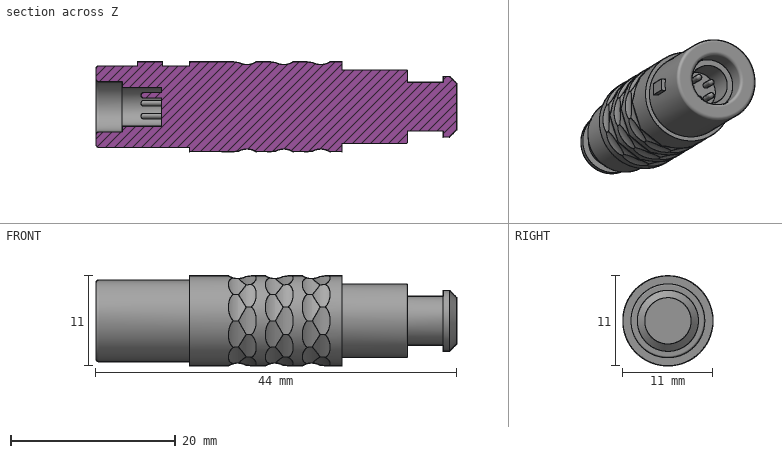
import cadquery as cq


nose_diameter = 10.0
collar_diameter = 11.0
tail_diameter = 9.0
neck_diameter = 6.0
flange_diameter = 7.45
nose_end = 11.4
collar_end = 30.0
tail_end = 38.0
flange_start = 42.3
total_length = 44.0
nose_fillet = 0.4
tail_fillet = 0.2
flange_chamfer = 0.9

socket_diameter = 6.1
socket_depth = 3.2
socket_fillet = 0.4
inner_bore_diameter = 4.7
inner_bore_end = 8.0

pin_count = 5
pin_diameter = 0.7
pin_circle_radius = 1.4
pin_length = 2.5

key_start = 5.05
key_length = 3.1
key_width = 1.4

band_count = 3
rows_per_band = 2
band_pitch = 4.5
first_row_x = 17.3
row_offset = 1.1
scallops_per_row = 10
scallop_radius = 2.1
scallop_depth = 0.34
cutter_half_length = 3.0

collar_radius = collar_diameter / 2
pin_radius = pin_diameter / 2
scallop_angle = 360.0 / scallops_per_row


def cylinder(diameter, start, end):
    """Cylinder on the X axis between two X positions."""
    return cq.Workplane("YZ", origin=(start, 0, 0)).circle(diameter / 2).extrude(end - start)


def make_shell():
    nose = cylinder(nose_diameter, 0, nose_end).faces("<X").edges().fillet(nose_fillet)
    collar = cylinder(collar_diameter, nose_end, collar_end)
    tail = cylinder(tail_diameter, collar_end, tail_end).faces(">X").edges().fillet(tail_fillet)
    neck = cylinder(neck_diameter, tail_end, flange_start)
    flange = cylinder(flange_diameter, flange_start, total_length)
    flange = flange.faces(">X").edges().chamfer(flange_chamfer)
    return nose.union(cut_grip(collar)).union(tail).union(neck).union(flange)


def make_scallop_cutter(x, angle):
    """Cylinder crossing the collar surface, turned about the X axis from the -Y direction."""
    axis_height = collar_radius - scallop_depth + scallop_radius
    cutter = (
        cq.Workplane("XY", origin=(x, -axis_height, 0))
        .circle(scallop_radius)
        .extrude(cutter_half_length, both=True)
    )
    return cutter.rotate((0, 0, 0), (1, 0, 0), angle)


def cut_grip(collar):
    cutters = []
    for band in range(band_count):
        for row in range(rows_per_band):
            x = first_row_x + band * band_pitch + row * row_offset
            row_turn = scallop_angle / 2 if row == 0 else 0
            for index in range(scallops_per_row):
                angle = row_turn + index * scallop_angle
                cutters.append(make_scallop_cutter(x, angle).val())
    return cq.Workplane(collar.val().cut(*cutters))


def make_key():
    """Flat-topped bar rooted inside the nose wall and level with the collar surface."""
    nose_wall_mid_radius = (nose_diameter + socket_diameter) / 2 / 2
    key_height = collar_radius - nose_wall_mid_radius
    return (
        cq.Workplane("XY")
        .box(key_length, key_height, key_width, centered=(False, False, True))
        .translate((key_start, nose_wall_mid_radius, 0))
    )


def cut_socket(body):
    body = body.cut(cylinder(socket_diameter, 0, socket_depth))
    mouth = cq.selectors.RadiusNthSelector(0)
    body = body.faces("<X").edges(mouth).fillet(socket_fillet)
    return body.cut(cylinder(inner_bore_diameter, socket_depth, inner_bore_end))


def make_pin(angle):
    """Pin with a hemispherical tip, turned about the X axis from the +Y direction."""
    tip_x = inner_bore_end - pin_length
    shank = cylinder(pin_diameter, tip_x + pin_radius, inner_bore_end)
    tip = cq.Workplane("XY").sphere(pin_radius).translate((tip_x + pin_radius, 0, 0))
    pin = shank.union(tip).translate((0, pin_circle_radius, 0))
    return pin.rotate((0, 0, 0), (1, 0, 0), angle)


result = cut_socket(make_shell().union(make_key()))
for pin_index in range(pin_count):
    result = result.union(make_pin(pin_index * 360.0 / pin_count))